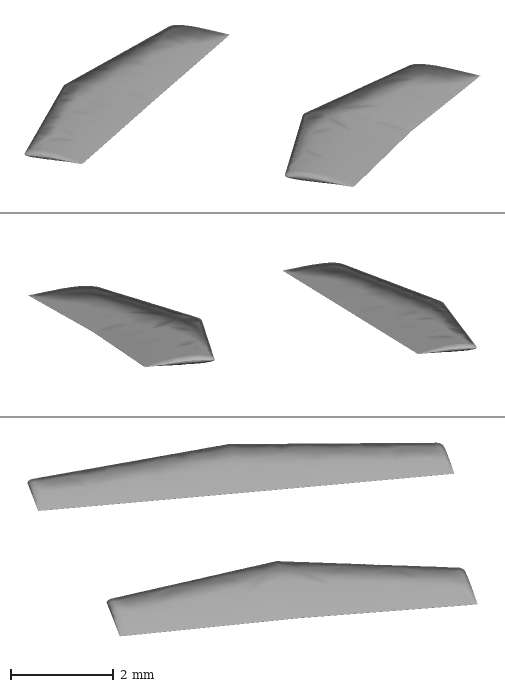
import cadquery as cq
import math


MAX_THICKNESS = 0.114
MAX_CAMBER = 0.018
CAMBER_POSITION = 0.4
SURFACE_STEPS = 12

CAP_END_ANGLE = 78
CAP_STEPS = 5
CAP_LENGTH = 0.15

FRONT_NOSE_X = 0
FRONT_ROOT_CHORD = 1.9
FRONT_TIP_NOSE_X = 0.69
FRONT_TIP_CHORD = 1.24
FRONT_HALF_SPAN = 4.145
FRONT_TAIL_DROP = 0.06

REAR_NOSE_X = 5.0
REAR_ROOT_CHORD = 2.25
REAR_TIP_NOSE_X = 5.9
REAR_TIP_CHORD = 1.475
REAR_HALF_SPAN = 3.565
REAR_TAIL_DROP = 0.07


def half_thickness(s):
    """Four-digit NACA half thickness at chord fraction s, per unit chord."""
    series = 0.2969 * math.sqrt(s) - 0.126 * s - 0.3516 * s**2 + 0.2843 * s**3 - 0.1015 * s**4
    return 5 * MAX_THICKNESS * series


def camber(s):
    """Four-digit NACA mean line at chord fraction s, per unit chord."""
    p = CAMBER_POSITION
    if s < p:
        return MAX_CAMBER * (2 * p * s - s**2) / p**2
    return MAX_CAMBER * (1 - 2 * p + 2 * p * s - s**2) / (1 - p) ** 2


def airfoil(y, nose_x, chord, tail_drop, thickness_scale=1.0):
    """Closed airfoil wire in the plane at y, with a thin blunt trailing edge."""

    def point(s, side):
        z = chord * (camber(s) + side * thickness_scale * half_thickness(s)) - tail_drop * s
        return cq.Vector(nose_x + chord * s, y, z)

    fractions = [(1 - math.cos(math.pi * i / SURFACE_STEPS)) / 2 for i in range(SURFACE_STEPS + 1)]
    upper = [point(s, 1) for s in reversed(fractions)]
    lower = [point(s, -1) for s in fractions[1:]]
    skin = cq.Edge.makeSpline(upper + lower)
    trailing_edge = cq.Edge.makeLine(lower[-1], upper[0])
    return cq.Wire.assembleEdges([skin, trailing_edge])


def tip_cap(y, nose_x, chord, tail_drop):
    """Rounded wing tip that thins outward and curves back at the nose."""
    sections = []
    for i in range(CAP_STEPS + 1):
        angle = math.radians(CAP_END_ANGLE * i / CAP_STEPS)
        reach = CAP_LENGTH * math.sin(angle) / math.sin(math.radians(CAP_END_ANGLE))
        setback = CAP_LENGTH * (1 - math.cos(angle))
        sections.append(airfoil(y + reach, nose_x + setback, chord - setback, tail_drop, math.cos(angle)))
    return cq.Solid.makeLoft(sections)


def wing(nose_x, root_chord, tip_nose_x, tip_chord, half_span, root_drop):
    """Swept, tapered wing: one half panel with its cap, mirrored about Y = 0."""
    panel_span = half_span - CAP_LENGTH
    tip_drop = root_drop * tip_chord / root_chord
    root = airfoil(0, nose_x, root_chord, root_drop)
    tip = airfoil(panel_span, tip_nose_x, tip_chord, tip_drop)
    panel = cq.Workplane(cq.Solid.makeLoft([root, tip], True))
    half = panel.union(cq.Workplane(tip_cap(panel_span, tip_nose_x, tip_chord, tip_drop)))
    return half.union(half.mirror("XZ")).solids()


front_wing = wing(
    FRONT_NOSE_X, FRONT_ROOT_CHORD, FRONT_TIP_NOSE_X, FRONT_TIP_CHORD, FRONT_HALF_SPAN, FRONT_TAIL_DROP
)
rear_wing = wing(
    REAR_NOSE_X, REAR_ROOT_CHORD, REAR_TIP_NOSE_X, REAR_TIP_CHORD, REAR_HALF_SPAN, REAR_TAIL_DROP
)

result = cq.Compound.makeCompound([front_wing.val(), rear_wing.val()])